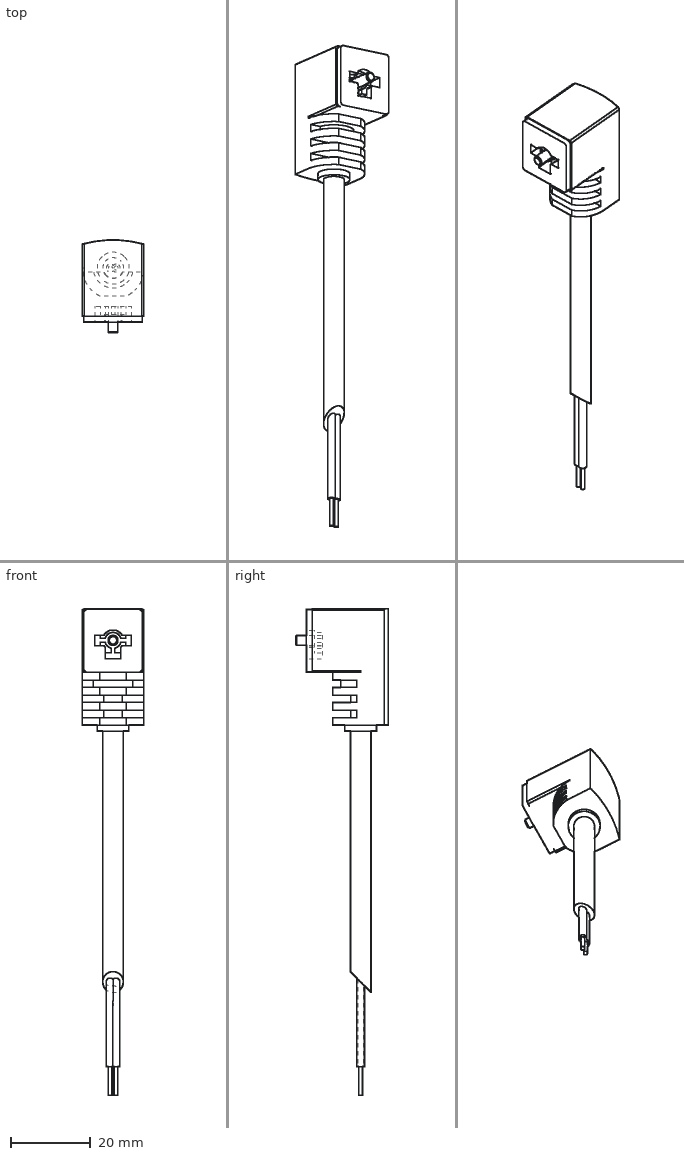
import cadquery as cq


HOUSING_WIDTH = 15.5
HEAD_HEIGHT = 15.9
HOUSING_HEIGHT = 29.2
TOP_Z = HEAD_HEIGHT / 2
HEAD_BOTTOM_Z = TOP_Z - HEAD_HEIGHT
HOUSING_BOTTOM_Z = TOP_Z - HOUSING_HEIGHT
BACK_Y = 7.0
BACK_BULGE = 1.1
LEG_FRONT_Y = 0.0
HEAD_CHAMFER_WIDTH = 0.6
HEAD_CHAMFER_HEIGHT = 0.4

PLATE_THICKNESS = 1.5
PLATE_WIDTH = 14.7
PLATE_TOP_STEP = 0.2
PLATE_CORNER_RADIUS = 0.9
PLATE_FRONT_Y = -13.6
HEAD_FRONT_Y = PLATE_FRONT_Y + PLATE_THICKNESS

OVERALL_DEPTH = 23.3
PIN_DIAMETER = 2.5
PIN_TIP_CHAMFER = 0.3
PIN_TIP_Y = BACK_Y - OVERALL_DEPTH
RECESS_DIAMETER = 5.2
RECESS_DEPTH = 4.0
RECESS_FLOOR_Y = PLATE_FRONT_Y + RECESS_DEPTH
SIDE_SLOT_SPAN = 9.2
SIDE_SLOT_HEIGHT = 2.6
LOWER_SLOT_WIDTH = 4.0
INSERT_SPAN = 6.3
INSERT_SETBACK = 2.0
INSERT_FRONT_Y = PLATE_FRONT_Y + INSERT_SETBACK
INSERT_BORE_DIAMETER = 4.0
INSERT_SLIT_WIDTH = 1.0

RELIEF_DIAMETER = HOUSING_WIDTH
RELIEF_FLAT_Y = -7.0
GROOVE_BACK_Y = -1.0
GROOVE_HEIGHT = 1.8
GROOVE_PITCH = 3.8
FIRST_GROOVE_DROP = 2.0
GROOVE_CORE_DIAMETERS = (10.0, 5.0, 5.0)

OVERALL_HEIGHT = 121.85
COLLAR_DIAMETER = 8.0
COLLAR_HEIGHT = 1.5
CABLE_DIAMETER = 5.2
CABLE_MID_CUT_Z = TOP_Z - 93.5
WIRE_DIAMETER = 2.0
WIRE_SPACING = 1.45
WIRE_END_Z = TOP_Z - 114.7
STRAND_DIAMETER = 1.0
STRAND_END_Z = TOP_Z - OVERALL_HEIGHT


def box(x_range, y_range, z_range):
    """Axis-aligned block between the given limits."""
    sizes = [high - low for low, high in (x_range, y_range, z_range)]
    corner = (x_range[0], y_range[0], z_range[0])
    return cq.Workplane("XY").box(*sizes, centered=False).translate(corner)


def centred(span):
    """Limits of a span placed evenly about zero."""
    return (-span / 2, span / 2)


def upright_rod(diameter, z_low, z_high, x=0.0):
    """Cylinder along Z between two heights."""
    return cq.Workplane("XY", origin=(x, 0, z_low)).circle(diameter / 2).extrude(z_high - z_low)


def level_rod(diameter, y_front, y_back):
    """Cylinder along the pin axis between two Y positions."""
    return cq.Workplane("XZ", origin=(0, y_back, 0)).circle(diameter / 2).extrude(y_back - y_front)


def bowed_block(front_y, z_low):
    """Block from front_y to the bowed back face, reaching up to the top of the housing."""
    half_width = HOUSING_WIDTH / 2
    side_y = BACK_Y - BACK_BULGE
    return (
        cq.Workplane("XY", origin=(0, 0, z_low))
        .moveTo(-half_width, front_y)
        .lineTo(half_width, front_y)
        .lineTo(half_width, side_y)
        .threePointArc((0, BACK_Y), (-half_width, side_y))
        .close()
        .extrude(TOP_Z - z_low)
    )


def edge_wedge(side, level, y_front, y_back):
    """Wedge that chamfers a long head edge; side and level are -1 or 1 for the low or high X and Z."""
    edge_x = side * HOUSING_WIDTH / 2
    edge_z = level * HEAD_HEIGHT / 2
    return (
        cq.Workplane("XZ", origin=(0, y_back, 0))
        .moveTo(edge_x, edge_z)
        .lineTo(edge_x - side * HEAD_CHAMFER_WIDTH, edge_z)
        .lineTo(edge_x, edge_z - level * HEAD_CHAMFER_HEIGHT)
        .close()
        .extrude(y_back - y_front)
    )


def make_housing():
    housing = bowed_block(HEAD_FRONT_Y, HEAD_BOTTOM_Z)
    housing = housing.union(bowed_block(LEG_FRONT_Y, HOUSING_BOTTOM_Z))
    for side in (-1, 1):
        housing = housing.cut(edge_wedge(side, 1, HEAD_FRONT_Y, BACK_Y))
        housing = housing.cut(edge_wedge(side, -1, HEAD_FRONT_Y, LEG_FRONT_Y))
    return housing


def make_plate():
    z_range = (HEAD_BOTTOM_Z, TOP_Z - PLATE_TOP_STEP)
    plate = box(centred(PLATE_WIDTH), (PLATE_FRONT_Y, HEAD_FRONT_Y), z_range)
    return plate.edges("|Y").fillet(PLATE_CORNER_RADIUS)


def make_strain_relief():
    """Flat-fronted half cylinder with a stack of grooves around smaller cores."""
    relief = upright_rod(RELIEF_DIAMETER, HOUSING_BOTTOM_Z, HEAD_BOTTOM_Z)
    z_range = (HOUSING_BOTTOM_Z, HEAD_BOTTOM_Z)
    relief = relief.intersect(box(centred(RELIEF_DIAMETER), (RELIEF_FLAT_Y, LEG_FRONT_Y), z_range))
    for index, core_diameter in enumerate(GROOVE_CORE_DIAMETERS):
        groove_top = HEAD_BOTTOM_Z - FIRST_GROOVE_DROP - index * GROOVE_PITCH
        groove_bottom = groove_top - GROOVE_HEIGHT
        groove = box(centred(RELIEF_DIAMETER), (RELIEF_FLAT_Y, GROOVE_BACK_Y), (groove_bottom, groove_top))
        relief = relief.cut(groove.cut(upright_rod(core_diameter, groove_bottom, groove_top)))
    return relief


def cross_block(span, y_front, y_back):
    """Side slots, lower slot and centre bore joined, reaching half the span left, right and down."""
    y_range = (y_front, y_back)
    side_slots = box(centred(span), y_range, centred(SIDE_SLOT_HEIGHT))
    lower_slot = box(centred(LOWER_SLOT_WIDTH), y_range, (-span / 2, 0))
    return level_rod(RECESS_DIAMETER, y_front, y_back).union(side_slots).union(lower_slot)


def make_insert():
    """Contact insert on the recess floor, bored around the pin and slit towards each slot."""
    y_range = (INSERT_FRONT_Y, RECESS_FLOOR_Y)
    insert = cross_block(INSERT_SPAN, *y_range)
    insert = insert.cut(level_rod(INSERT_BORE_DIAMETER, *y_range))
    insert = insert.cut(box(centred(INSERT_SPAN), y_range, centred(INSERT_SLIT_WIDTH)))
    return insert.cut(box(centred(INSERT_SLIT_WIDTH), y_range, (-INSERT_SPAN / 2, 0)))


def make_pin():
    pin = level_rod(PIN_DIAMETER, PIN_TIP_Y, RECESS_FLOOR_Y)
    return pin.faces("<Y").chamfer(PIN_TIP_CHAMFER)


def make_cable():
    """Cable with its lower end cut at 45 degrees, shorter towards -Y."""
    radius = CABLE_DIAMETER / 2
    cable = upright_rod(CABLE_DIAMETER, CABLE_MID_CUT_Z - radius, HOUSING_BOTTOM_Z)
    end_wedge = (
        cq.Workplane("YZ", origin=(-radius, 0, CABLE_MID_CUT_Z))
        .moveTo(-radius, radius)
        .lineTo(radius, -radius)
        .lineTo(-radius, -radius)
        .close()
        .extrude(CABLE_DIAMETER)
    )
    return cable.cut(end_wedge)


def make_wire(x):
    """Insulated wire with a bare strand at its lower end."""
    wire = upright_rod(WIRE_DIAMETER, WIRE_END_Z, CABLE_MID_CUT_Z + CABLE_DIAMETER, x)
    return wire.union(upright_rod(STRAND_DIAMETER, STRAND_END_Z, WIRE_END_Z, x))


body = make_housing().union(make_plate()).union(make_strain_relief())
body = body.cut(cross_block(SIDE_SLOT_SPAN, PLATE_FRONT_Y, RECESS_FLOOR_Y))
body = body.union(make_insert()).union(make_pin())

collar = upright_rod(COLLAR_DIAMETER, HOUSING_BOTTOM_Z - COLLAR_HEIGHT, HOUSING_BOTTOM_Z)
body = body.union(collar).union(make_cable())
for wire_x in centred(WIRE_SPACING):
    body = body.union(make_wire(wire_x))

result = body